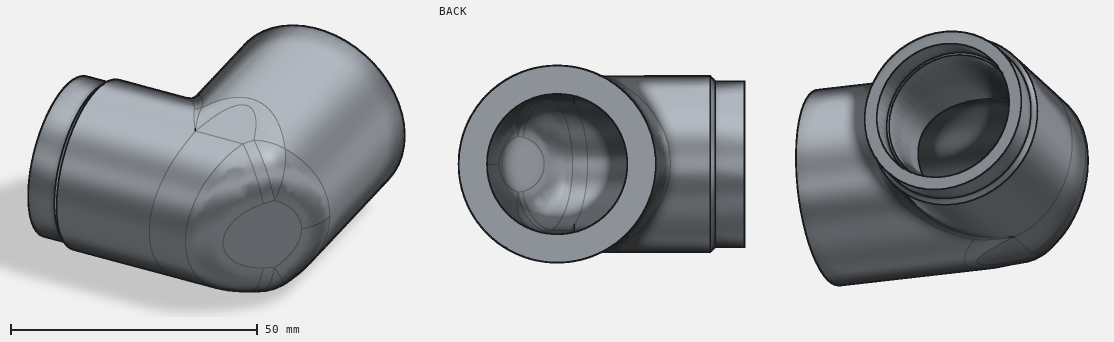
import cadquery as cq
import math

branch_reach = 38.0
spigot_branch_radius = 35.7 / 2
main_branch_radius = 40 / 2
spigot_bore_radius = 27.5 / 2
main_bore_radius = 28.5 / 2

blend_angle = math.radians(13.2)
outer_corner_offset = 20.2
inner_corner_offset = 14.05
outer_corner_radius = 10.0
inner_corner_radius = 8.1
crotch_radius = 2.9

spigot_radius = 33.7 / 2
spigot_length = 6.0
shoulder_chamfer = spigot_branch_radius - spigot_radius
mouth_radius = main_bore_radius
mouth_depth = 6.05
merge_tolerance = 0.001
join_x = -3.5


def spigot_cylinder(radius, length):
    """Cylinder along X that starts at the open end of the spigot branch."""
    cylinder = cq.Workplane("YZ", origin=(-branch_reach, 0, 0)).circle(radius).extrude(length)
    return cylinder.rotate((0, 0, 0), (1, 0, 0), 180)


def tapered_profile(radius):
    """Prism along X: a round bottom with tangent flats that flare toward +Y."""
    touch_y = -radius * math.sin(blend_angle)
    touch_z = radius * math.cos(blend_angle)
    end_z = touch_z + (branch_reach - touch_y) * math.tan(blend_angle)
    return (
        cq.Workplane("YZ")
        .moveTo(touch_y, touch_z)
        .threePointArc((-radius, 0), (touch_y, -touch_z))
        .lineTo(branch_reach, -end_z)
        .lineTo(branch_reach, end_z)
        .close()
        .extrude(branch_reach, both=True)
    )


def corner_cutter(offset):
    """Triangular prism beyond the 45 degree plane x - y = offset."""
    return (
        cq.Workplane("XY")
        .moveTo(offset - branch_reach, -branch_reach)
        .lineTo(branch_reach, -branch_reach)
        .lineTo(branch_reach, branch_reach - offset)
        .close()
        .extrude(branch_reach, both=True)
    )


def elbow(spigot_r, main_r, corner_offset, rounding):
    """Solid elbow whose corner is a smaller sharp core grown by the rounding radius."""
    core = (
        cq.Workplane("XZ", origin=(0, branch_reach, 0))
        .circle(main_r - rounding)
        .extrude(2 * branch_reach)
        .intersect(tapered_profile(spigot_r - rounding))
        .cut(corner_cutter(corner_offset - rounding * math.sqrt(2)))
    )
    grown = core.union(core.solids().shell(rounding, kind="arc"))
    beyond_mouth = (
        cq.Workplane("XZ", origin=(0, branch_reach + rounding, 0))
        .rect(2 * branch_reach, 2 * branch_reach)
        .extrude(rounding)
    )
    main = grown.cut(beyond_mouth)
    return main.union(spigot_cylinder(spigot_r, branch_reach + join_x), tol=merge_tolerance)


outside = elbow(spigot_branch_radius, main_branch_radius, outer_corner_offset, outer_corner_radius)
inside = elbow(spigot_bore_radius, main_bore_radius, inner_corner_offset, inner_corner_radius)

crotch_zone = cq.selectors.BoxSelector(
    (-branch_reach + spigot_length, 0, -main_branch_radius),
    (-main_branch_radius / 2, branch_reach / 2, main_branch_radius),
)
body = outside.edges(crotch_zone).fillet(crotch_radius)

cutter_radius = spigot_branch_radius + shoulder_chamfer
shoulder = spigot_length + shoulder_chamfer
ring = (
    cq.Workplane("XY")
    .moveTo(0, spigot_radius)
    .lineTo(spigot_length, spigot_radius)
    .lineTo(shoulder, spigot_branch_radius)
    .lineTo(shoulder, cutter_radius)
    .lineTo(0, cutter_radius)
    .close()
    .revolve(360, (0, 0, 0), (1, 0, 0))
    .translate((-branch_reach, 0, 0))
)

mouth = spigot_cylinder(mouth_radius, mouth_depth)
result = body.cut(ring).cut(inside).cut(mouth)